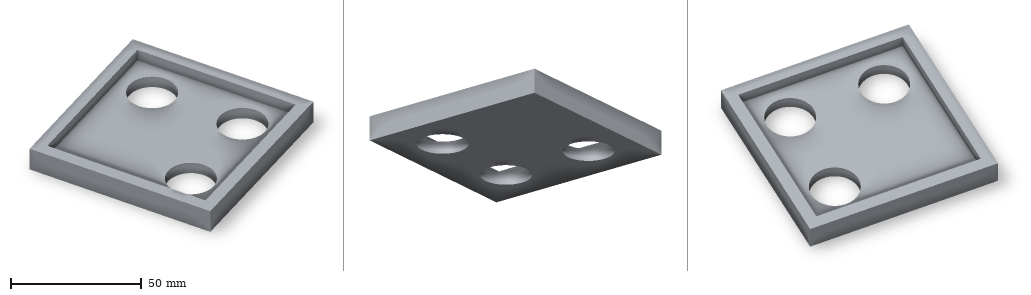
import cadquery as cq

side = 80.0
height = side / 8
wall = height / 2
floor = height / 2
hole_diameter = side / 4
hole_offset = side / 4

tray = cq.Workplane("XY").box(side, side, height, centered=(True, True, False))

pocket_side = side - 2 * wall
pocket = (
    cq.Workplane("XY")
    .workplane(offset=floor)
    .rect(pocket_side, pocket_side)
    .extrude(height - floor)
)

hole_centers = [
    (-hole_offset, hole_offset),
    (hole_offset, hole_offset),
    (hole_offset, -hole_offset),
]
holes = cq.Workplane("XY").pushPoints(hole_centers).circle(hole_diameter / 2).extrude(height)

result = tray.cut(pocket).cut(holes)